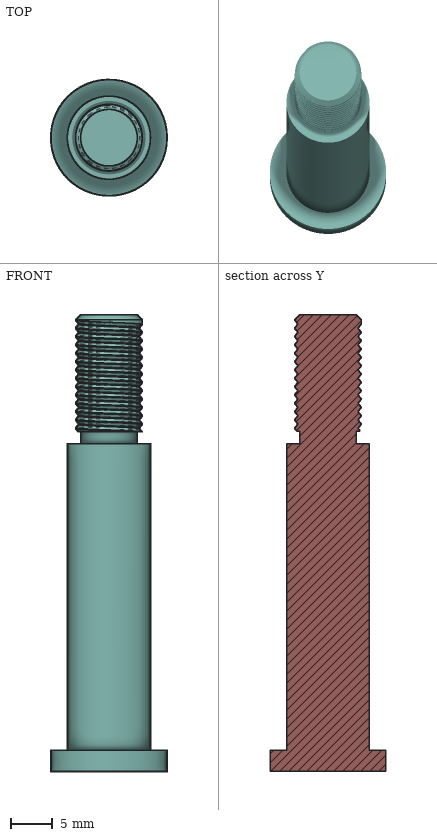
import cadquery as cq

total_length = 55.0
head_diameter = 14.0
head_height = 2.6
shank_diameter = 10.0
shank_top = 39.5
neck_diameter = 6.8
neck_length = 1.45
thread_start = shank_top + neck_length

thread_diameter = 8.05
thread_pitch = thread_diameter / 8
groove_depth = 0.35
groove_mouth = 0.9 * thread_pitch
root_width = 0.1 * thread_pitch
end_chamfer = 0.6

groove_start = 40.05
groove_turns = 14.04
groove_start_angle = 103.0
cutter_overhang = 0.015


def cylinder(diameter, bottom, top):
    """Solid cylinder on the Z axis between two heights."""
    return cq.Workplane("XY").workplane(offset=bottom).circle(diameter / 2).extrude(top - bottom)


def left_hand_helix(radius, height, length):
    """Single helical edge that starts at the given height on the X axis."""
    start = cq.Vector(0, 0, height)
    return cq.Wire.makeHelix(thread_pitch, length, radius, start, lefthand=True).Edges()[0]


def thread_groove():
    """Helical V groove that enters at the neck and stops below the end chamfer."""
    length = groove_turns * thread_pitch
    root_radius = thread_diameter / 2 - groove_depth
    outer_radius = thread_diameter / 2 + cutter_overhang
    flank_slope = (groove_mouth - root_width) / 2 / groove_depth
    half_root = root_width / 2
    half_outer = groove_mouth / 2 + flank_slope * cutter_overhang
    corners = [
        (root_radius, -half_root),
        (outer_radius, -half_outer),
        (outer_radius, half_outer),
        (root_radius, half_root),
    ]

    edges = [left_hand_helix(radius, height, length) for radius, height in corners]
    sides = [
        cq.Face.makeRuledSurface(edge, next_edge)
        for edge, next_edge in zip(edges, edges[1:] + edges[:1])
    ]
    corner_points = [cq.Vector(radius, 0, height) for radius, height in corners]
    near_end = cq.Face.makeFromWires(cq.Wire.makePolygon(corner_points, close=True))
    turned_end = near_end.rotate(cq.Vector(), cq.Vector(0, 0, 1), -360 * groove_turns)
    far_end = turned_end.translate(cq.Vector(0, 0, length))
    groove = cq.Solid.makeSolid(cq.Shell.makeShell(sides + [near_end, far_end]))

    placed = cq.Workplane(obj=groove).rotate((0, 0, 0), (0, 0, 1), groove_start_angle)
    return placed.translate((0, 0, groove_start))


head = cylinder(head_diameter, 0, head_height)
shank = cylinder(shank_diameter, head_height, shank_top)
neck = cylinder(neck_diameter, shank_top, thread_start)
thread_blank = cylinder(thread_diameter, thread_start, total_length)
thread = thread_blank.faces(">Z").chamfer(end_chamfer).cut(thread_groove())

result = head.union(shank).union(neck).union(thread)